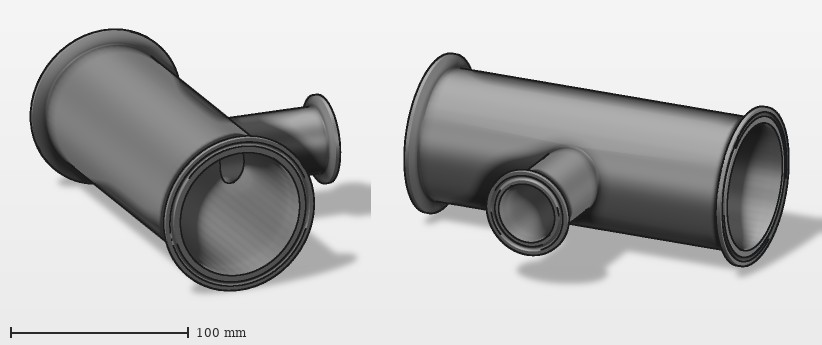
import cadquery as cq
import math

run_length = 196.8
run_outer_d = 76.2
run_bore_d = 72.8
run_flange_d = 91.0
branch_reach = 92.1
branch_outer_d = 38.2
branch_bore_d = 34.8
branch_flange_d = 50.4
junction_fillet = 1.5

rim_width = 2.8
back_angle = 20.0
neck_fillet = 1.5
groove_inset = 2.8
groove_width = 2.5
groove_depth = 1.2
edge_rounding = 0.4


def flanged_tube(outer_d, flange_d, length):
    """Solid tube blank along +X with its flanged, grooved end face at x = 0."""
    tube_r = outer_d / 2
    flange_r = flange_d / 2
    back_end = rim_width + (flange_r - tube_r) * math.tan(math.radians(back_angle))
    blank = (
        cq.Workplane("XY")
        .moveTo(0, 0)
        .lineTo(0, flange_r)
        .lineTo(rim_width, flange_r)
        .lineTo(back_end, tube_r)
        .lineTo(length, tube_r)
        .lineTo(length, 0)
        .close()
        .revolve(360, (0, 0, 0), (1, 0, 0))
    )
    neck_box = cq.selectors.BoxSelector(
        (back_end - neck_fillet, -neck_fillet, -neck_fillet),
        (back_end + neck_fillet, neck_fillet, neck_fillet),
    )
    blank = blank.edges(neck_box).fillet(neck_fillet)

    groove_outer_r = flange_r - groove_inset
    groove_inner_r = groove_outer_r - groove_width
    groove = (
        cq.Workplane("XY")
        .moveTo(0, groove_inner_r)
        .threePointArc(
            (groove_depth, groove_inner_r + groove_width / 2),
            (0, groove_outer_r),
        )
        .close()
        .revolve(360, (0, 0, 0), (1, 0, 0))
    )
    end_face_edges = cq.selectors.StringSyntaxSelector("<X")
    rim_edges = cq.selectors.RadiusNthSelector(-1)
    return blank.cut(groove).edges(end_face_edges + rim_edges).fillet(edge_rounding)


def bore(diameter, length):
    """Cylinder along +X from x = 0, used to hollow out a tube."""
    return cq.Workplane("YZ").circle(diameter / 2).extrude(length)


def place_on_branch(body):
    """Turn a body built along +X so that it runs from the branch end toward -Y."""
    return body.rotate((0, 0, 0), (0, 0, 1), -90).translate((0, branch_reach, 0))


half_run = flanged_tube(run_outer_d, run_flange_d, run_length / 2).translate((-run_length / 2, 0, 0))
run = half_run.union(half_run.mirror("YZ")).clean()

branch = place_on_branch(flanged_tube(branch_outer_d, branch_flange_d, branch_reach))
body = run.union(branch)

junction_box = cq.selectors.BoxSelector(
    (-branch_outer_d, 0, -branch_outer_d),
    (branch_outer_d, run_outer_d / 2 + junction_fillet, branch_outer_d),
)
body = body.edges(junction_box).fillet(junction_fillet)

run_bore = bore(run_bore_d, run_length).translate((-run_length / 2, 0, 0))
branch_bore = place_on_branch(bore(branch_bore_d, branch_reach))
result = body.cut(run_bore).cut(branch_bore)